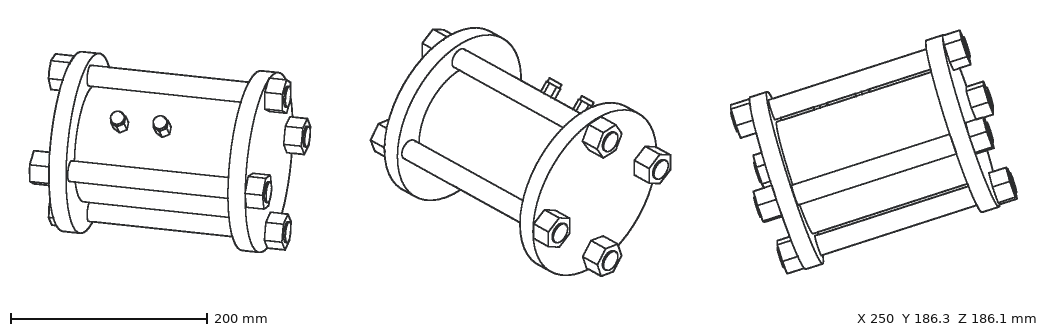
import cadquery as cq
import math

hex_sides = 6
half_hex_step = 180 / hex_sides

total_length = 250.0
stud_projection = 1.8
left_nut_height = 20.5
right_nut_height = 18.5
flange_thickness = 18.2

flange_diameter = 184.5
barrel_diameter = 120.0
bolt_circle_radius = 75.0
stud_diameter = 21.2
nut_across_corners = 37.0

port_positions = (85.0, 130.0)
port_tilt = 45.0
port_diameter = 14.2
port_tip_radius = 80.0
port_collar_length = 4.5
port_hex_across_corners = port_diameter / math.cos(math.radians(half_hex_step))

stud_angles = (0, 90, 180, 270)
left_nut_turns = (30, 0, 30, 12)
right_nut_turns = (10, 30, 48, 12)

left_flange_start = stud_projection + left_nut_height
left_flange_end = left_flange_start + flange_thickness
right_flange_end = total_length - stud_projection - right_nut_height
right_flange_start = right_flange_end - flange_thickness


def section_at(x):
    """Work plane normal to X, with local x along Y and local y along Z."""
    return cq.Workplane("YZ", origin=(x, 0, 0))


def stud_centre(angle):
    radians = math.radians(angle)
    return bolt_circle_radius * math.cos(radians), bolt_circle_radius * math.sin(radians)


def disc(start, end, diameter):
    return section_at(start).circle(diameter / 2).extrude(end - start)


def stud(angle):
    return section_at(0).center(*stud_centre(angle)).circle(stud_diameter / 2).extrude(total_length)


def nut(start, height, angle, turn):
    y, z = stud_centre(angle)
    hexagon = section_at(start).center(y, z).polygon(hex_sides, nut_across_corners).extrude(height)
    return hexagon.rotate((0, y, z), (1, y, z), turn)


def port(x):
    """Hexagonal stem rising from the barrel with a round collar at its tip."""
    collar_start = port_tip_radius - port_collar_length
    stem = cq.Workplane("XY").polygon(hex_sides, port_hex_across_corners).extrude(collar_start)
    collar = cq.Workplane("XY", origin=(0, 0, collar_start)).circle(port_diameter / 2)
    stem = stem.rotate((0, 0, 0), (0, 0, 1), half_hex_step)
    upright = stem.union(collar.extrude(port_collar_length))
    return upright.rotate((0, 0, 0), (1, 0, 0), port_tilt).translate((x, 0, 0))


result = disc(left_flange_start, left_flange_end, flange_diameter)
result = result.union(disc(left_flange_end, right_flange_start, barrel_diameter))
result = result.union(disc(right_flange_start, right_flange_end, flange_diameter))

for angle, left_turn, right_turn in zip(stud_angles, left_nut_turns, right_nut_turns):
    result = result.union(stud(angle))
    result = result.union(nut(stud_projection, left_nut_height, angle, left_turn))
    result = result.union(nut(right_flange_end, right_nut_height, angle, right_turn))

for x in port_positions:
    result = result.union(port(x))